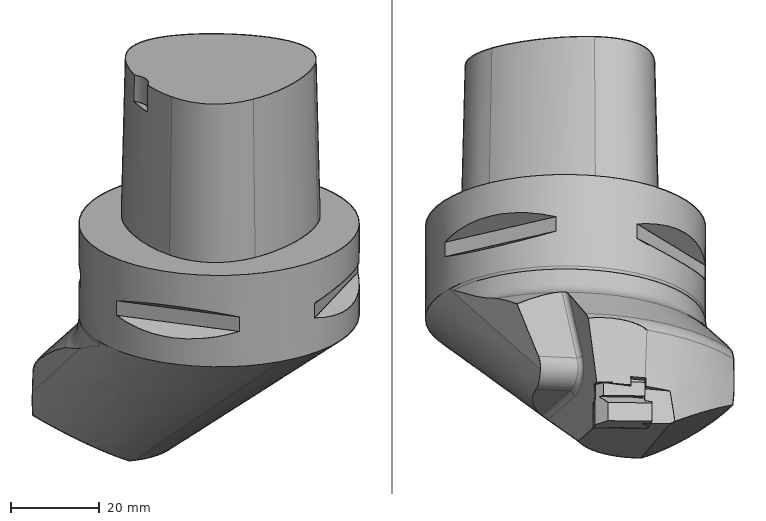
import cadquery as cq
import math


collar_radius = 31.5
collar_height = 22.1
gripper_floor_distance = 27.9
gripper_center_z = -11.9
gripper_floor_width = 3.5
gripper_mouth_width = 7.7
gripper_angles = (45, 135, 225, 315)

shank_height = 38.0
shank_base_radius = 22.1
shank_top_radius = 21.2
shank_lobe = 1.6
shank_face_count = 6
notch_radius = 5.2
notch_axis_y = -23.3
notch_depth = 6.4

neck_radius = 31.4
neck_step = 0.7
neck_arc_end_radius = 34.5
neck_arc_end_z = -29.8
cone_end_radius = 42.3
cone_end_z = -37.9
rim_radius = 44.2
rim_z = -41.2
skirt_radius = 45.5
lead_flat_x = -43.4
lead_flat_slope = 0.06

floor_z = -68.0
lean_per_depth = 1.27
shrink_per_depth = 0.28
back_side_slope = 0.38
envelope_end_x = -82.4

under_slope_x = 0.02
under_slope_y = -0.1
under_point = (-44.3, 3.1, -64.8)
relief_slope_x = 0.05
relief_slope_y = -0.57
relief_point = (-32.1, -30.9, -52.9)

rake_point = (-43.3, 5.2, -38.1)
rake_normal = (-0.17, 1.0, -0.1)
pocket_skew = 0.11
pocket_floor_top = (-32.8, -24.7)
pocket_floor_end = (-37.7, -47.0)
pocket_under_z = -52.9
pocket_round = 5.2
pocket_fillet = 1.2
pocket_corner = (-35.0, 6.2, -36.0)
pocket_reach = 61.8

insert_back_x = -40.7
insert_face_x = -44.3
insert_edge_x = -45.2
insert_groove_x = -43.5
insert_top_z = -55.2
insert_groove_z = -58.5
insert_ledge_z = -60.6
insert_bottom_z = -65.0
insert_front_y = 3.3
insert_corner_y = 0.6
insert_length = 12.9
insert_clearance_x = 0.1
insert_clearance_z = 0.12
insert_rear_step_y = -8.1
seat_x = -42.6
seat_end_y = -16.5
seat_notch_y = (-8.1, -4.6)
seat_notch_top_z = -53.1

block_size = 206.0


def half_space(point, normal):
    """Large block on the side of a plane that the normal points to."""
    return (
        cq.Workplane(cq.Plane(origin=point, normal=normal))
        .rect(block_size, block_size)
        .extrude(block_size)
    )


def lobe_point(mean_radius, angle):
    """Point of the three-lobed shank outline, with the angle measured from the +Y lobe."""
    x = mean_radius * math.sin(angle) - shank_lobe * math.sin(2 * angle)
    y = mean_radius * math.cos(angle) + shank_lobe * math.cos(2 * angle)
    return cq.Vector(x, y, 0)


def shank_outline(mean_radius, z):
    """Closed three-lobed wire made of equal spans."""
    span = 2 * math.pi / shank_face_count
    steps = 8
    edges = []
    for index in range(shank_face_count):
        start = (index + 0.5) * span
        points = [lobe_point(mean_radius, start + span * step / steps) for step in range(steps + 1)]
        edges.append(cq.Edge.makeSpline(points))
    return cq.Wire.assembleEdges(edges).translate(cq.Vector(0, 0, z))


def make_shank():
    base = shank_outline(shank_base_radius, 0)
    top = shank_outline(shank_top_radius, shank_height)
    shank = cq.Workplane(cq.Solid.makeLoft([base, top], True))
    notch = (
        cq.Workplane("XY", origin=(0, notch_axis_y, shank_height - notch_depth))
        .circle(notch_radius)
        .extrude(notch_depth)
    )
    return shank.cut(notch)


def gripper_groove(angle):
    """Groove with a flat floor and sloping sides, across the collar at the given angle."""
    mouth_depth = collar_radius - gripper_floor_distance
    floor_half = gripper_floor_width / 2
    mouth_half = gripper_mouth_width / 2
    return (
        cq.Workplane("XZ", origin=(gripper_floor_distance, 0, gripper_center_z))
        .polyline([(0, -floor_half), (mouth_depth, -mouth_half), (mouth_depth, mouth_half), (0, floor_half)])
        .close()
        .extrude(collar_radius, both=True)
        .rotate((0, 0, 0), (0, 0, 1), angle)
    )


def make_collar():
    collar = cq.Workplane("XY").circle(collar_radius).extrude(-collar_height)
    for angle in gripper_angles:
        collar = collar.cut(gripper_groove(angle))
    return collar


def turned_head():
    """Round body of the head with a concave neck, a cone and a slightly flared skirt."""
    neck_end_z = -collar_height - neck_step
    return (
        cq.Workplane("XZ")
        .moveTo(0, -collar_height)
        .lineTo(collar_radius, -collar_height)
        .lineTo(neck_radius, neck_end_z)
        .tangentArcPoint((neck_arc_end_radius, neck_arc_end_z), relative=False)
        .lineTo(cone_end_radius, cone_end_z)
        .tangentArcPoint((rim_radius, rim_z), relative=False)
        .lineTo(skirt_radius, floor_z)
        .lineTo(0, floor_z)
        .close()
        .revolve(360, (0, 0, 0), (0, 1, 0))
    )


def envelope_outline(depth):
    """Rounded outline of the slanted envelope at a depth below the collar."""
    radius = collar_radius - shrink_per_depth * depth
    front_tangent_x = -lean_per_depth * depth
    center_x = front_tangent_x + collar_radius - radius
    center_y = radius - collar_radius
    side_angle = math.atan(back_side_slope)
    middle_angle = math.pi / 4 + side_angle / 2
    nose_middle = (center_x + radius * math.cos(middle_angle), center_y + radius * math.sin(middle_angle))
    tangent_x = center_x - radius * math.sin(side_angle)
    tangent_y = center_y + radius * math.cos(side_angle)
    end_y = tangent_y + back_side_slope * (envelope_end_x - tangent_x)
    return (
        cq.Workplane("XY", origin=(0, 0, -collar_height - depth))
        .moveTo(envelope_end_x, -collar_radius)
        .lineTo(front_tangent_x, -collar_radius)
        .ellipseArc(collar_radius, radius, -90, 0, startAtCurrent=True)
        .threePointArc(nose_middle, (tangent_x, tangent_y))
        .lineTo(envelope_end_x, end_y)
        .close()
        .val()
    )


def slanted_envelope():
    full_depth = -collar_height - floor_z
    outlines = [envelope_outline(0), envelope_outline(full_depth)]
    return cq.Workplane(cq.Solid.makeLoft(outlines, True))


def chip_pocket():
    """Space above the rake face, with a sloping floor that rounds over into an undercut."""
    skewed = cq.Plane(origin=(0, 0, 0), xDir=(1, -pocket_skew, 0), normal=(-pocket_skew, -1, 0))
    under_start = (pocket_floor_end[0] + pocket_round, pocket_under_z)
    prism = (
        cq.Workplane(skewed)
        .moveTo(*pocket_floor_top)
        .lineTo(*pocket_floor_end)
        .tangentArcPoint(under_start, relative=False)
        .lineTo(pocket_reach, pocket_under_z)
        .lineTo(pocket_reach, -block_size)
        .lineTo(-block_size, -block_size)
        .lineTo(-block_size, pocket_floor_top[1])
        .close()
        .extrude(-pocket_reach, both=True)
    )
    pocket = prism.intersect(half_space(rake_point, rake_normal))
    corner = cq.selectors.NearestToPointSelector(pocket_corner)
    return pocket.edges(corner).fillet(pocket_fillet)


def make_insert():
    """Stepped block with a groove above its proud lower ledge and a bevelled leading corner."""
    length_direction = (insert_clearance_x, -1, insert_clearance_z)
    profile = [
        (insert_back_x, insert_top_z),
        (insert_face_x, insert_top_z),
        (insert_face_x, insert_groove_z),
        (insert_groove_x, insert_groove_z),
        (insert_edge_x, insert_ledge_z),
        (insert_edge_x, insert_bottom_z),
        (insert_back_x, insert_bottom_z),
    ]
    front = [cq.Vector(x, insert_front_y, z) for x, z in profile]
    outline = cq.Wire.makePolygon(front, close=True)
    block = cq.Solid.extrudeLinear(outline, [], cq.Vector(*length_direction) * insert_length)
    bevel = half_space((insert_edge_x, insert_corner_y, insert_bottom_z), (-1, 1, 0))
    rear_step = half_space((0, insert_rear_step_y, 0), (0, -1, 0)).intersect(
        half_space((0, 0, insert_groove_z), (0, 0, 1))
    )
    return cq.Workplane(block).cut(bevel).cut(rear_step)


def seat_recess():
    """Open step in the lead side of the head, in which the insert sits."""
    corner_x = -block_size / 2
    notch = (
        cq.Workplane("XY", origin=(seat_x, 0, insert_top_z))
        .moveTo(0, seat_notch_y[0])
        .lineTo(0, seat_notch_y[1])
        .lineTo(corner_x, seat_notch_y[1])
        .lineTo(corner_x, seat_notch_y[0])
        .close()
        .extrude(seat_notch_top_z - insert_top_z)
    )
    step = (
        cq.Workplane("XY", origin=(0, 0, insert_top_z))
        .moveTo(corner_x, seat_end_y)
        .lineTo(seat_x, seat_end_y)
        .lineTo(seat_x, block_size / 2)
        .lineTo(corner_x, block_size / 2)
        .close()
        .extrude(floor_z - insert_top_z)
    )
    return step.union(notch)


def make_head():
    head = turned_head().intersect(slanted_envelope())
    head = head.cut(half_space((lead_flat_x, 0, rim_z), (-1, 0, lead_flat_slope)))
    head = head.cut(half_space(under_point, (under_slope_x, under_slope_y, -1)))
    head = head.cut(half_space(relief_point, (relief_slope_x, relief_slope_y, -1)))
    return head.cut(chip_pocket()).cut(seat_recess())


insert = make_insert()
holder = make_collar().union(make_shank()).union(make_head()).cut(insert)

result = cq.Compound.makeCompound([holder.solids().val(), insert.solids().val()])